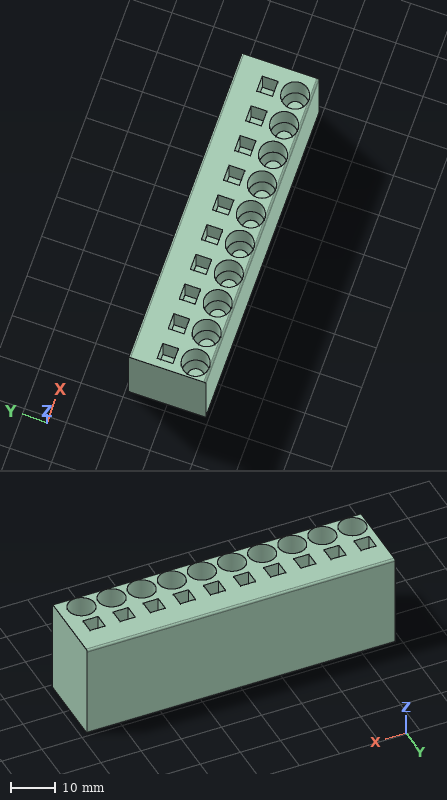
import cadquery as cq

length = 76.8
depth = 18.5
height = 24.1
edge_radius = 0.5

position_count = 10
row_span = 67.5
pitch = row_span / (position_count - 1)
first_x = -length / 2 + pitch / 2
position_xs = [first_x + i * pitch for i in range(position_count)]

entry_diameter = 6.5
entry_y = -depth / 2 + edge_radius + entry_diameter / 2
entry_floor_diameter = 4.0
entry_bore_depth = 7.7
entry_funnel_depth = 2.3

pocket_y = 1.15
pocket_side = 3.8
pocket_depth = 7.7


def housing():
    """Block with its four long edges rounded."""
    block = cq.Workplane("XY").box(length, depth, height, centered=(True, True, False))
    return block.edges("|X").fillet(edge_radius)


def wire_entry(x):
    """Cutter for one wire entry, turned about its vertical axis."""
    bore_radius = entry_diameter / 2
    floor_radius = entry_floor_diameter / 2
    bore_bottom = -entry_bore_depth
    floor = bore_bottom - entry_funnel_depth
    profile = cq.Workplane("XZ").polyline(
        [(0, 0), (bore_radius, 0), (bore_radius, bore_bottom), (floor_radius, floor), (0, floor)]
    )
    cutter = profile.close().revolve(360, (0, 0, 0), (0, 1, 0))
    return cutter.translate((x, entry_y, height))


def release_pocket(x):
    """Cutter for one square pocket sunk from the top face."""
    cutter = cq.Workplane("XY").rect(pocket_side, pocket_side).extrude(-pocket_depth)
    return cutter.translate((x, pocket_y, height))


result = housing()
for position_x in position_xs:
    result = result.cut(wire_entry(position_x))
    result = result.cut(release_pocket(position_x))